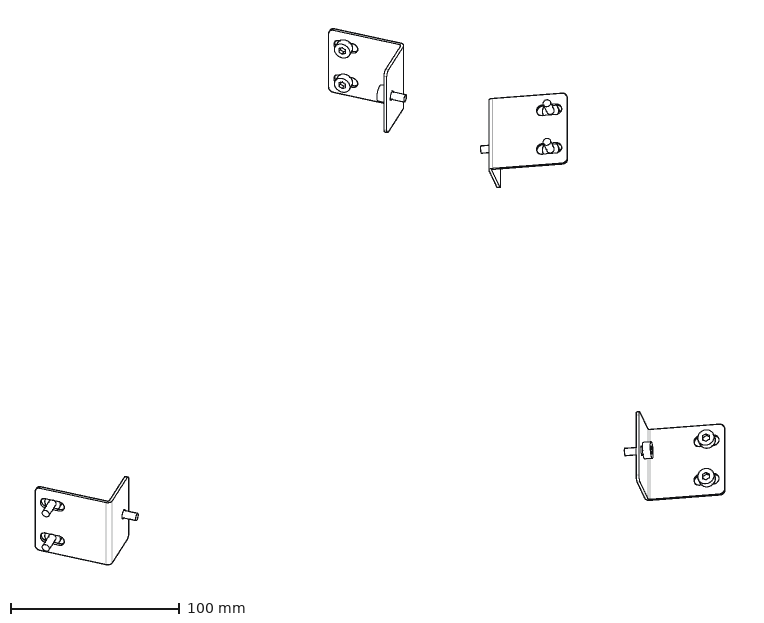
import cadquery as cq

OVERALL_LENGTH = 520.0
OVERALL_WIDTH = 56.0
HEIGHT = 45.0

SHANK_DIAMETER = 4.5
SHANK_LENGTH = 11.5
HEAD_DIAMETER = 10.0
HEAD_LENGTH = 4.5
SOCKET_ACROSS_FLATS = 4.0
SOCKET_DEPTH = 2.5

SHEET = 1.75
BEND_INNER = 1.0
BEND_OUTER = BEND_INNER + SHEET
CORNER_RADIUS = 3.0
SIDE_GAP = 1.3
SHANK_PROTRUSION = SHANK_LENGTH - SHEET
WIDE_WALL = OVERALL_WIDTH - SHANK_PROTRUSION + SIDE_GAP
NARROW_WALL = 31.0

OUTER_FACE_Y = -OVERALL_LENGTH / 2 + SHANK_PROTRUSION
INNER_FACE_Y = OUTER_FACE_Y + SHEET
OUTER_FACE_X = WIDE_WALL
INNER_FACE_X = OUTER_FACE_X - SHEET

SLOT_LENGTH = 15.0
SLOT_WIDTH = 7.0
SLOT_X = 11.0
SLOT_SCREW_X = 10.5
SLOT_SPACING = 25.0
SLOT_HEIGHTS = [-SLOT_SPACING / 2, SLOT_SPACING / 2]

HOLE_DIAMETER = 5.5
HOLE_FROM_OUTER_FACE = 22.5
HOLE_Y = OUTER_FACE_Y + HOLE_FROM_OUTER_FACE


def make_bent_sheet():
    """L-shaped sheet at the -Y end, its narrow wall pointing toward +Y."""
    narrow_end_y = OUTER_FACE_Y + NARROW_WALL
    sheet = (
        cq.Workplane("XY")
        .polyline([
            (0, OUTER_FACE_Y),
            (OUTER_FACE_X, OUTER_FACE_Y),
            (OUTER_FACE_X, narrow_end_y),
            (INNER_FACE_X, narrow_end_y),
            (INNER_FACE_X, INNER_FACE_Y),
            (0, INNER_FACE_Y),
        ])
        .close()
        .extrude(HEIGHT / 2, both=True)
    )
    inner_bend = cq.selectors.NearestToPointSelector((INNER_FACE_X, INNER_FACE_Y, 0))
    outer_bend = cq.selectors.NearestToPointSelector((OUTER_FACE_X, OUTER_FACE_Y, 0))
    sheet = sheet.edges(inner_bend).fillet(BEND_INNER)
    sheet = sheet.edges(outer_bend).fillet(BEND_OUTER)
    sheet = sheet.faces("<X").edges("|Y").fillet(CORNER_RADIUS)
    return sheet.faces(">Y").edges("|X").fillet(CORNER_RADIUS)


def make_bracket():
    """Bent sheet with two slots in the wide wall and a hole in the narrow wall."""
    slots = (
        cq.Workplane("XZ", origin=(SLOT_X, OUTER_FACE_Y, 0))
        .pushPoints([(0, z) for z in SLOT_HEIGHTS])
        .slot2D(SLOT_LENGTH, SLOT_WIDTH)
        .extrude(-SHEET)
    )
    hole = (
        cq.Workplane("YZ", origin=(INNER_FACE_X, HOLE_Y, 0))
        .circle(HOLE_DIAMETER / 2)
        .extrude(SHEET)
    )
    return make_bent_sheet().cut(slots).cut(hole)


def make_screw():
    """Socket-head screw along Z: the head sits on Z = 0 and the shank points down."""
    head = cq.Workplane("XY").circle(HEAD_DIAMETER / 2).extrude(HEAD_LENGTH)
    shank = cq.Workplane("XY").circle(SHANK_DIAMETER / 2).extrude(-SHANK_LENGTH)
    socket = (
        cq.Workplane("XY", origin=(0, 0, HEAD_LENGTH))
        .polygon(6, SOCKET_ACROSS_FLATS, circumscribed=True)
        .extrude(-SOCKET_DEPTH)
    )
    return head.union(shank).cut(socket)


def make_slot_screws():
    """Screws through the slots, shanks toward -Y, heads against the wide wall's inner face."""
    screw = make_screw().rotate((0, 0, 0), (1, 0, 0), -90)
    return [screw.translate((SLOT_SCREW_X, INNER_FACE_Y, z)) for z in SLOT_HEIGHTS]


def make_side_screw():
    """Screw through the narrow wall, shank toward +X, head just clear of the inner face."""
    screw = make_screw().rotate((0, 0, 0), (0, 1, 0), -90)
    return screw.translate((INNER_FACE_X - SIDE_GAP, HOLE_Y, 0))


bodies = []
for body in [make_bracket(), *make_slot_screws(), make_side_screw()]:
    bodies.append(body.solids().val())
    bodies.append(body.mirror("XZ").solids().val())

result = cq.Compound.makeCompound(bodies)